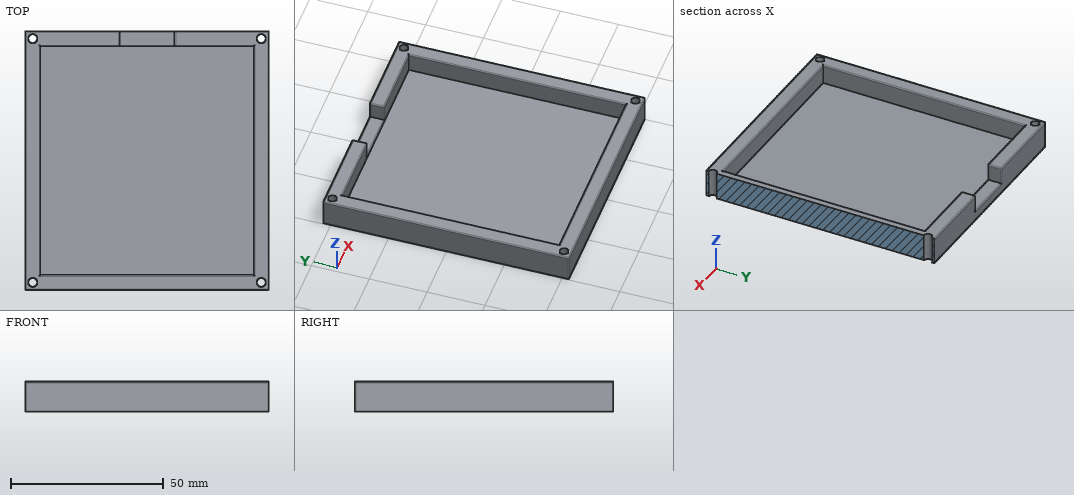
import cadquery as cq

LENGTH_X = 80.0
LENGTH_Y = 85.0
HEIGHT = 10.0

WALL = 5.0
FLOOR = 3.0

NOTCH_WIDTH = 18.0
NOTCH_FLOOR = 4.0

HOLE_DIAMETER = 2.9
HOLE_INSET = 2.5

EDGE_RADIUS = 0.4

CAVITY_X = LENGTH_X - 2 * WALL
CAVITY_Y = LENGTH_Y - 2 * WALL


def make_tray():
    """Block with an open-topped rectangular cavity, its base on Z = 0."""
    block = cq.Workplane("XY").box(LENGTH_X, LENGTH_Y, HEIGHT, centered=(True, True, False))
    cavity = (
        cq.Workplane("XY", origin=(0, 0, FLOOR))
        .rect(CAVITY_X, CAVITY_Y)
        .extrude(HEIGHT - FLOOR)
    )
    return block.cut(cavity)


def cut_notch(body):
    """Open the middle of the +Y wall from its top down to the notch floor."""
    notch = (
        cq.Workplane("XY", origin=(0, (LENGTH_Y - WALL) / 2, NOTCH_FLOOR))
        .rect(NOTCH_WIDTH, WALL)
        .extrude(HEIGHT - NOTCH_FLOOR)
    )
    return body.cut(notch)


def round_edges(body):
    """Round the outside, the rim and the notch mouth, leaving inside corners sharp."""
    outside = body.faces("<X or >X or <Y or >Y or <Z or >Z").edges()
    notch_mouth = cq.selectors.BoxSelector(
        (-NOTCH_WIDTH / 2 - EDGE_RADIUS, CAVITY_Y / 2 - EDGE_RADIUS, NOTCH_FLOOR - EDGE_RADIUS / 2),
        (NOTCH_WIDTH / 2 + EDGE_RADIUS, CAVITY_Y / 2 + EDGE_RADIUS, HEIGHT - EDGE_RADIUS),
    )
    return outside.add(body.edges(notch_mouth)).fillet(EDGE_RADIUS)


def drill_corner_holes(body):
    """Drill a through hole near each corner."""
    return (
        body.faces(">Z")
        .workplane(origin=(0, 0, HEIGHT))
        .rect(LENGTH_X - 2 * HOLE_INSET, LENGTH_Y - 2 * HOLE_INSET, forConstruction=True)
        .vertices()
        .hole(HOLE_DIAMETER)
    )


result = drill_corner_holes(round_edges(cut_notch(make_tray())))